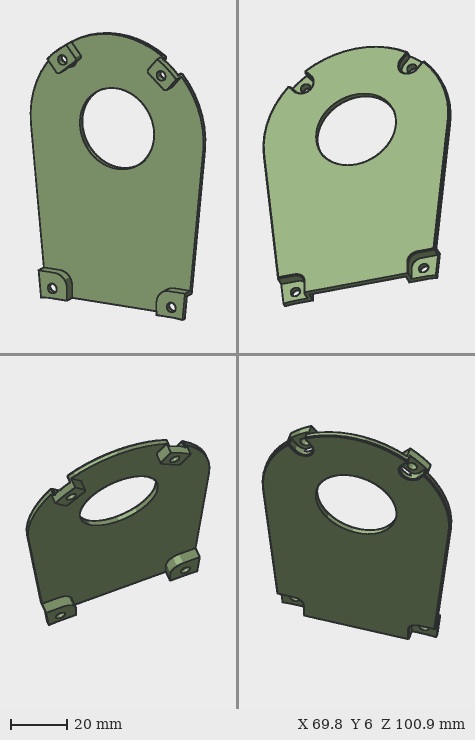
import cadquery as cq
import math

height = 100.9
head_radius = 34.9
foot_half_width = 28.6
foot_toe_rise = 0.3
plate_thickness = 2.0
rim_chamfer = 0.4
opening_diameter = 30.0
head_z = height - head_radius

boss_front = 6.0
screw_diameter = 3.5

foot_screw_x = 24.0
foot_screw_z = 4.0
foot_boss_inner_x = 18.1
foot_boss_height = 10.0
foot_boss_radius = 5.0
foot_wall = 1.5
foot_pocket_depth = 4.0

head_boss_angle = 40.0
head_screw_distance = 31.0
head_boss_inner = 27.8
head_boss_width = 10.0
head_boss_corner = 1.0
head_pocket_width = 7.5
head_pocket_depth = 3.0
head_mouth_bevel = 0.5


def front_plane():
    """Workplane at the rear face: local x is X, local y is Z, extrusion goes toward -Y."""
    return cq.Workplane("XZ")


def outline(depth):
    """Round head joined by tangent straight sides to a narrower foot.

    Each foot corner starts square to its side, then meets a slightly raised straight bottom edge.
    """
    center_distance = math.hypot(foot_half_width, head_z)
    taper = math.atan2(head_z, foot_half_width) - math.acos(head_radius / center_distance)
    tangent_x = head_radius * math.cos(taper)
    tangent_z = head_z - head_radius * math.sin(taper)
    toe_x = foot_half_width - foot_toe_rise / math.tan(taper)
    return (
        front_plane()
        .moveTo(-foot_half_width, 0)
        .lineTo(-tangent_x, tangent_z)
        .threePointArc((0, height), (tangent_x, tangent_z))
        .lineTo(foot_half_width, 0)
        .lineTo(toe_x, foot_toe_rise)
        .lineTo(-toe_x, foot_toe_rise)
        .close()
        .extrude(depth)
    )


def foot_block(inner_x, top_z, radius, depth):
    """Right-hand corner block, rounded at its upper inner corner and wider than the plate."""
    outer_x = head_radius
    return (
        front_plane()
        .moveTo(inner_x, 0)
        .lineTo(inner_x, top_z - radius)
        .radiusArc((inner_x + radius, top_z), radius)
        .lineTo(outer_x, top_z)
        .lineTo(outer_x, 0)
        .close()
        .extrude(depth)
    )


def head_block():
    """Block running from its inner edge past the rim, on the upright centre line."""
    length = head_radius
    return (
        front_plane()
        .center(0, head_z + head_boss_inner + length / 2)
        .rect(head_boss_width, length)
        .extrude(boss_front)
        .edges("|Y and <Z")
        .fillet(head_boss_corner)
    )


def head_pocket():
    """Round-ended slot around the screw hole, open through the rim with bevelled mouth corners."""
    screw_z = head_z + head_screw_distance
    round_end = front_plane().center(0, screw_z).circle(head_pocket_width / 2).extrude(head_pocket_depth)
    half_width = head_pocket_width / 2
    rim_z = head_z + math.sqrt(head_radius**2 - half_width**2)
    flare_z = rim_z - head_mouth_bevel
    outer_z = height + head_mouth_bevel
    outer_half_width = half_width + outer_z - flare_z
    mouth = (
        front_plane()
        .polyline([
            (-half_width, screw_z),
            (-half_width, flare_z),
            (-outer_half_width, outer_z),
            (outer_half_width, outer_z),
            (half_width, flare_z),
            (half_width, screw_z),
        ])
        .close()
        .extrude(head_pocket_depth)
    )
    return round_end.union(mouth)


def turn_to_head_boss(body):
    """Turn a body from the upright centre line to the right-hand head boss."""
    return body.rotate((0, 0, head_z), (0, 1, head_z), head_boss_angle)


def with_mirror(body):
    """Add the left-hand copy of a right-hand body."""
    return body.union(body.mirror("YZ"))


plate = outline(plate_thickness)

foot_boss = foot_block(foot_boss_inner_x, foot_boss_height, foot_boss_radius, boss_front)
foot_pocket = foot_block(
    foot_boss_inner_x + foot_wall,
    foot_boss_height - foot_wall,
    foot_boss_radius - foot_wall,
    foot_pocket_depth,
)

boss_space = outline(boss_front).cut(outline(plate_thickness))
bosses = with_mirror(foot_boss.union(turn_to_head_boss(head_block()))).intersect(boss_space)
pockets = with_mirror(foot_pocket.union(turn_to_head_boss(head_pocket())))

screw_turn = math.radians(head_boss_angle)
head_screw_x = head_screw_distance * math.sin(screw_turn)
head_screw_z = head_z + head_screw_distance * math.cos(screw_turn)
screw_points = [
    (side * x, z)
    for side in (-1, 1)
    for x, z in ((foot_screw_x, foot_screw_z), (head_screw_x, head_screw_z))
]
screw_holes = front_plane().pushPoints(screw_points).circle(screw_diameter / 2).extrude(boss_front)
opening = front_plane().center(0, head_z).circle(opening_diameter / 2).extrude(plate_thickness)

hollowed = plate.union(bosses).cut(pockets)
rear_edges = hollowed.faces(">Y").edges().filter(lambda edge: edge.Center().z > foot_toe_rise + rim_chamfer)
result = hollowed.newObject(rear_edges.vals()).chamfer(rim_chamfer).cut(screw_holes).cut(opening)